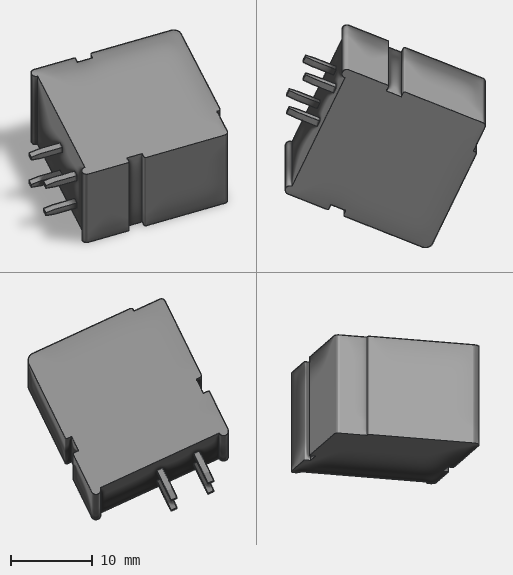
import cadquery as cq

body_width = 18.5
body_height = 12.5
overall_length = 23.0
pin_length = 4.1
back_y = overall_length / 2
front_y = -overall_length / 2 + pin_length
half_width = body_width / 2

back_corner_radius = 1.0
step_x = 5.25
step_depth = 0.48
step_edge_radius = 0.3
step_corner_radius = 0.5

groove_back_y = back_y - 11.55
groove_length = 1.98
groove_depth = 0.78
groove_back_edge_radius = 0.23
groove_front_edge_radius = 0.15

foot_radius = 0.6

pin_pitch = 5.0
pin_width = 0.8
pin_thickness = 0.9
tip_length = 1.2
tip_thickness = 0.5
first_pin_x = 0.0
first_pin_z = -3.47


def vertical_edges_at(solid, x, y):
    """Select the vertical edge of a solid that stands at (x, y)."""
    reach = 0.012
    return solid.edges(
        cq.selectors.BoxSelector(
            (x - reach, y - reach, -body_height),
            (x + reach, y + reach, body_height),
        )
    )


def block(x_min, x_max, y_min, y_max):
    """Full-height block between the given limits."""
    return (
        cq.Workplane("XY")
        .box(x_max - x_min, y_max - y_min, body_height)
        .translate(((x_min + x_max) / 2, (y_min + y_max) / 2, 0))
    )


def make_body():
    body = block(-half_width, half_width, front_y, back_y)
    step_y = back_y - step_depth
    body = body.cut(block(step_x, half_width, step_y, back_y))

    groove_front_y = groove_back_y - groove_length
    groove_floor_x = half_width - groove_depth
    body = body.cut(block(groove_floor_x, half_width, groove_front_y, groove_back_y))
    body = body.cut(block(-half_width, -groove_floor_x, groove_front_y, groove_back_y))

    body = vertical_edges_at(body, -half_width, back_y).fillet(back_corner_radius)
    body = vertical_edges_at(body, step_x, back_y).fillet(step_edge_radius)
    body = vertical_edges_at(body, half_width, step_y).fillet(step_corner_radius)
    for side_x in (-half_width, half_width):
        body = vertical_edges_at(body, side_x, groove_back_y).fillet(groove_back_edge_radius)
        body = vertical_edges_at(body, side_x, groove_front_y).fillet(groove_front_edge_radius)
    return body


def make_foot(side):
    """Half-round rib across the full height; side is -1 or +1 along X."""
    outer_x = side * half_width
    center_x = outer_x - side * foot_radius
    inner_x = center_x - side * foot_radius
    return (
        cq.Workplane("XY", origin=(0, 0, -body_height / 2))
        .moveTo(outer_x, front_y)
        .threePointArc((center_x, front_y - foot_radius), (inner_x, front_y))
        .close()
        .extrude(body_height)
    )


def make_pin(x, z):
    """Flat pin pointing along -Y, thinned in Z towards its tip."""
    tip_y = front_y - pin_length
    taper_y = tip_y + tip_length
    return (
        cq.Workplane("YZ")
        .polyline([
            (front_y, -pin_thickness / 2),
            (taper_y, -pin_thickness / 2),
            (tip_y, -tip_thickness / 2),
            (tip_y, tip_thickness / 2),
            (taper_y, pin_thickness / 2),
            (front_y, pin_thickness / 2),
        ])
        .close()
        .extrude(pin_width / 2, both=True)
        .translate((x, 0, z))
    )


result = make_body()
for foot_side in (-1, 1):
    result = result.union(make_foot(foot_side))
for column in range(2):
    for row in range(2):
        pin = make_pin(first_pin_x + column * pin_pitch, first_pin_z + row * pin_pitch)
        result = result.union(pin)